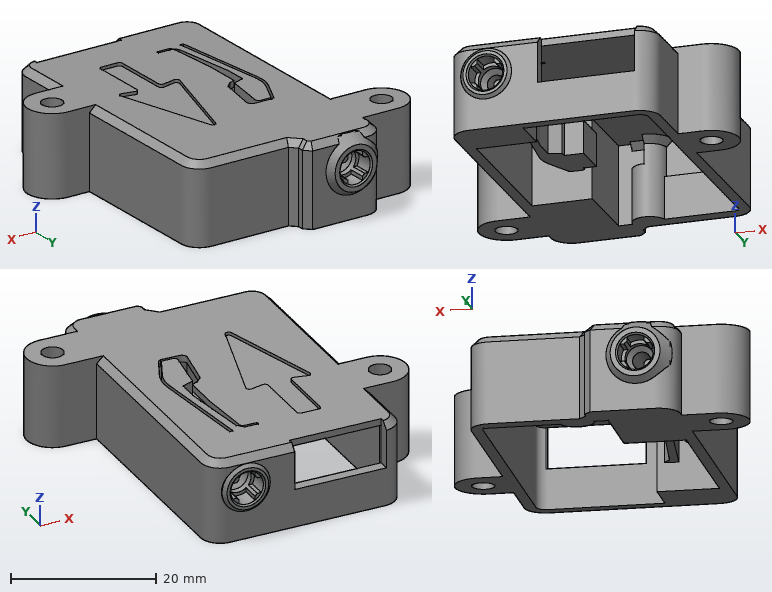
import cadquery as cq


height = 12.75
left, right = -14.25, 15.55
front, rear = -23.75, 20.22
rear_raised = 23.2
step_corner_x = -1.2
step_bevel = 1.0
corner_radius = 3.0
edge_chamfer = 1.0
wall = 1.65
plate = 1.0
ceiling = height - plate
rear_wall_face = rear - wall

ear_radius = 4.0
ear_hole_diameter = 3.2
ear_hole_x = 19.05
left_ear_y = 15.3
right_ear_y = -9.2

port_x = -8.75
port_z = 8.0
bore_diameter = 2.5
socket_diameter = 4.0
socket_depth = 4.0
socket_floor_taper = 0.75
slot_circle_diameter = 5.0
slot_width = 2.42
slot_depth = 3.0
mouth_chamfer = 0.25
front_port_end_diameter = 6.4
front_port_diameter = 7.4
front_port_reach = 0.5
front_port_root = 0.95
rear_port_end_diameter = 7.0
rear_port_diameter = 9.7
rear_port_reach = 1.05
rear_port_root = 0.8
guide_right = -3.9
front_guide_end = -16.5
rear_guide_start = 7.28

window_left, window_right = -1.25, 12.8
window_sill = 5.85

post_x = 0.6
post_embed = 0.25
post_y = rear_wall_face + post_embed
post_diameter = 5.0
post_flare = 1.0
notch_floor = 7.8
lip_height = 6.25
lip_depth = 0.5

arrow_x = 5.05
arrow_tip_y = 11.05
arrow_barb_y = -6.6
arrow_barb_half = 5.15
arrow_neck_y = -5.85
arrow_tail_y = -15.75
arrow_stem_half = 1.8
arrow_rounding = 0.5
arrow_depth = 0.5

lever_root_left = (-7.0, -16.2)
lever_root_right = (-5.05, -15.9)
lever_bend_y = -0.82
lever_bulge_y = 0.75
lever_bottom = 4.0
pad_front, pad_rear = 0.0, 5.55
pad_left, pad_right = -5.8, -2.65
pad_height = 4.85


def block(x0, x1, y0, y1, z0, z1):
    return cq.Workplane("XY").box(x1 - x0, y1 - y0, z1 - z0, centered=False).translate((x0, y0, z0))


def along_y(profile):
    """Turn a profile of (radius, y) points about the filament axis."""
    turned = cq.Workplane("XY").polyline(profile).close().revolve(360, (0, 0, 0), (0, 1, 0))
    return turned.translate((port_x, 0, port_z))


def make_shell():
    outline = [
        (left, front),
        (right, front),
        (right, rear),
        (step_corner_x + step_bevel, rear),
        (step_corner_x, rear + step_bevel),
        (step_corner_x, rear_raised - step_bevel),
        (step_corner_x - step_bevel, rear_raised),
        (left, rear_raised),
    ]
    body = cq.Workplane("XY").polyline(outline).close().extrude(height)
    for x, y in [(left, front), (right, front), (right, rear), (left, rear_raised)]:
        corner = cq.selectors.NearestToPointSelector((x, y, height / 2))
        body = body.edges("|Z").edges(corner).fillet(corner_radius)
    return body.faces(">Z").edges().chamfer(edge_chamfer)


def make_cavity():
    cavity = block(left + wall, right - wall, front + wall, rear_wall_face, 0, ceiling)
    cavity = cavity.edges("|Z").fillet(corner_radius - wall)
    front_guide = block(left, guide_right, front, front_guide_end, 0, height)
    rear_guide = block(left, guide_right, rear_guide_start, rear_raised, 0, height)
    return cavity.cut(front_guide).cut(rear_guide)


def make_ear(side, y):
    hole_x = side * ear_hole_x
    inner_x = left + wall if side < 0 else right - wall
    arm = block(min(hole_x, inner_x), max(hole_x, inner_x), y - ear_radius, y + ear_radius, 0, height)
    tip = cq.Workplane("XY").center(hole_x, y).circle(ear_radius).extrude(height)
    return arm.union(tip)


def make_front_port():
    """A short round port with a bevelled rim, standing out of the front wall."""
    end_radius = front_port_end_diameter / 2
    radius = front_port_diameter / 2
    end_y = front - front_port_reach
    root_y = front + front_port_root
    return along_y([
        (0, end_y),
        (end_radius, end_y),
        (radius, end_y + radius - end_radius),
        (radius, root_y),
        (0, root_y),
    ])


def make_rear_port():
    """A conical port that widens into the raised rear part, flush with its top."""
    end_y = rear_raised + rear_port_reach
    root_y = rear_raised - rear_port_root
    cone = along_y([
        (0, end_y),
        (rear_port_end_diameter / 2, end_y),
        (rear_port_diameter / 2, root_y),
        (0, root_y),
    ])
    below_top = block(left, right, root_y, end_y, 0, height)
    return cone.intersect(below_top)


def make_socket(end_y, inward):
    """A tube socket with a cross of slots, a chamfered mouth and a cone down to the bore."""
    radius = socket_diameter / 2
    slot_radius = slot_circle_diameter / 2
    bore_radius = bore_diameter / 2
    floor_y = end_y + inward * socket_depth
    slot_end_y = end_y + inward * slot_depth
    mouth_end_y = end_y + inward * mouth_chamfer

    hole = along_y([
        (0, end_y),
        (slot_radius + mouth_chamfer, end_y),
        (slot_radius, mouth_end_y),
        (radius, mouth_end_y),
        (radius, floor_y),
        (bore_radius, floor_y + inward * socket_floor_taper),
        (0, floor_y + inward * socket_floor_taper),
    ])
    slot_room = along_y([(0, end_y), (slot_radius, end_y), (slot_radius, slot_end_y), (0, slot_end_y)])
    y0, y1 = sorted([end_y, slot_end_y])
    half = slot_width / 2
    flat_slot = block(-slot_radius, slot_radius, y0, y1, -half, half)
    upright_slot = block(-half, half, y0, y1, -slot_radius, slot_radius)
    cross = flat_slot.union(upright_slot).translate((port_x, 0, port_z))
    return hole.union(cross.intersect(slot_room))


def make_post():
    """A flared post with its front left part notched away under a sloping gusset."""
    radius = post_diameter / 2
    profile = [
        (0, 0),
        (radius, 0),
        (radius, ceiling - post_flare),
        (radius + post_flare, ceiling),
        (0, ceiling),
    ]
    post = cq.Workplane("XZ").polyline(profile).close().revolve(360, (0, 0, 0), (0, 1, 0))
    post = post.translate((post_x, post_y, 0))

    post_left = post_x - radius
    front_room = block(post_left, right, post_y - 2 * radius, rear_wall_face, 0, ceiling)
    notch = block(left, post_x, post_y - 2 * radius, rear_wall_face, notch_floor, ceiling)
    gusset = (
        cq.Workplane("YZ", origin=(post_left, 0, 0))
        .moveTo(rear_wall_face, ceiling)
        .lineTo(rear_wall_face, ceiling - post_flare)
        .lineTo(rear_wall_face - post_flare, ceiling)
        .close()
        .extrude(radius)
    )
    return post.intersect(front_room).cut(notch).union(gusset)


def make_lip():
    return block(post_x, right - wall, rear_wall_face - lip_depth, rear_wall_face, 0, lip_height)


def make_arrow():
    right_side = [
        (arrow_barb_half, arrow_barb_y),
        (arrow_stem_half, arrow_neck_y),
        (arrow_stem_half, arrow_tail_y),
    ]
    left_side = [(-x, y) for x, y in reversed(right_side)]
    outline = [(0, arrow_tip_y)] + right_side + left_side
    arrow = cq.Workplane("XY").polyline(outline).close().extrude(arrow_depth)
    return arrow.edges("|Z").fillet(arrow_rounding).translate((arrow_x, 0, height - arrow_depth))


def make_lever_opening():
    """The opening in the top plate around the lever; its lower left edge is the lever's root."""
    return (
        cq.Workplane("XY", origin=(0, 0, ceiling))
        .moveTo(*lever_root_left)
        .lineTo(-7.5, -16.2)
        .lineTo(-9.4, lever_bend_y)
        .threePointArc((-9.4, lever_bulge_y), (-8.95, 2.45))
        .lineTo(-7.15, 6.5)
        .lineTo(-6.7, 6.75)
        .lineTo(-3.9, 6.7)
        .threePointArc((-3.25, 6.4), (-3.05, 5.75))
        .lineTo(-4.15, -0.35)
        .lineTo(-5.05, -1.2)
        .lineTo(-6.0, -1.65)
        .lineTo(-6.0, -7.28)
        .lineTo(-5.45, -14.8)
        .threePointArc((-5.3, -15.3), (-4.85, -15.45))
        .lineTo(-2.95, -15.5)
        .lineTo(-2.95, -15.9)
        .lineTo(*lever_root_right)
        .close()
        .extrude(plate)
    )


def make_lever():
    """The springy lever; its bulge hangs across the filament path."""
    lever = (
        cq.Workplane("XY", origin=(0, 0, lever_bottom))
        .moveTo(*lever_root_left)
        .lineTo(-8.9, lever_bend_y)
        .threePointArc((-8.95, lever_bulge_y), (-8.6, 2.4))
        .lineTo(-6.8, 6.3)
        .lineTo(-5.05, 6.3)
        .threePointArc((-4.65, 6.1), (-4.55, 5.67))
        .lineTo(-5.55, -0.8)
        .lineTo(-7.3, -1.45)
        .lineTo(-7.3, -4.75)
        .lineTo(-5.9, -14.95)
        .lineTo(*lever_root_right)
        .close()
        .extrude(height - lever_bottom)
    )
    pad = block(pad_left, pad_right, pad_front, pad_rear, lever_bottom, lever_bottom + pad_height)
    return lever.union(pad)


body = make_shell()
for side, y in [(-1, left_ear_y), (1, right_ear_y)]:
    body = body.union(make_ear(side, y))
body = body.union(make_front_port())
body = body.union(make_rear_port())
body = body.cut(make_cavity())
body = body.union(make_post())
body = body.union(make_lip())

bore_radius = bore_diameter / 2
body = body.cut(along_y([(0, front), (bore_radius, front), (bore_radius, rear_raised), (0, rear_raised)]))
body = body.cut(make_socket(front - front_port_reach, 1))
body = body.cut(make_socket(rear_raised + rear_port_reach, -1))

body = body.cut(block(window_left, window_right, front, front + wall, window_sill, height))
for side, y in [(-1, left_ear_y), (1, right_ear_y)]:
    ear_hole = cq.Workplane("XY").center(side * ear_hole_x, y).circle(ear_hole_diameter / 2)
    body = body.cut(ear_hole.extrude(height))
body = body.cut(make_arrow())
body = body.cut(make_lever_opening())
body = body.union(make_lever())

result = body